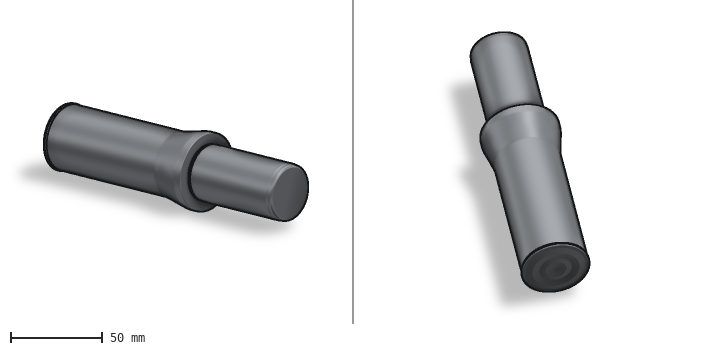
import cadquery as cq

TOTAL_LENGTH = 163.0

HANDLE_LENGTH = 102.7
BARREL_RADIUS = 37.0 / 2
COLLAR_RADIUS = 44.0 / 2
FLARE_START = 80.8
FLARE_END = 97.8
FLARE_BLEND = 4.9
COLLAR_EDGE_FILLET = 0.5

BEAD_RADIUS = 18.9
BEAD_FRONT = 0.7
BEAD_FILLET = 0.7
BEAD_CREST_END = 1.8
BEAD_END = 3.0

RIPPLE_DEPTH = 0.5
INNER_RIDGE_RADIUS = 5.9
GROOVE_RADIUS = 9.0
OUTER_RIDGE_RADIUS = 13.0
FACE_RADIUS = 16.6

PIN_RADIUS = 32.0 / 2
PIN_RELIEF_RADIUS = 31.5 / 2
NECK_LENGTH = 1.1
NECK_TAPER = 0.7
TIP_LENGTH = 2.8
TIP_TAPER = 1.0
TIP_FILLET = 1.6


def revolve_about_x(profile):
    """Turn a closed XY profile one full revolution about the X axis."""
    return profile.revolve(360, (0, 0, 0), (1, 0, 0))


def ring_at(x, radius):
    """Selector for the circular edge at the given axial place and radius."""
    reach = radius + 0.02
    slack = 0.02
    return cq.selectors.BoxSelector((x - slack, -reach, -reach), (x + slack, reach, reach), boundingbox=True)


def make_handle():
    profile = (
        cq.Workplane("XY")
        .moveTo(RIPPLE_DEPTH, 0)
        .lineTo(0, INNER_RIDGE_RADIUS)
        .lineTo(RIPPLE_DEPTH, GROOVE_RADIUS)
        .lineTo(0, OUTER_RIDGE_RADIUS)
        .lineTo(BEAD_FRONT, FACE_RADIUS)
        .lineTo(BEAD_FRONT, BEAD_RADIUS - BEAD_FILLET)
        .tangentArcPoint((BEAD_FILLET, BEAD_FILLET))
        .lineTo(BEAD_CREST_END, BEAD_RADIUS)
        .lineTo(BEAD_END, BARREL_RADIUS)
        .lineTo(FLARE_START, BARREL_RADIUS)
        .lineTo(FLARE_END, COLLAR_RADIUS)
        .lineTo(HANDLE_LENGTH, COLLAR_RADIUS)
        .lineTo(HANDLE_LENGTH, 0)
        .close()
    )
    handle = revolve_about_x(profile)
    handle = handle.edges(ring_at(FLARE_START, BARREL_RADIUS)).fillet(FLARE_BLEND)
    handle = handle.edges(ring_at(FLARE_END, COLLAR_RADIUS)).fillet(FLARE_BLEND)
    return handle.edges(ring_at(HANDLE_LENGTH, COLLAR_RADIUS)).fillet(COLLAR_EDGE_FILLET)


def make_pin():
    neck_end = HANDLE_LENGTH + NECK_LENGTH
    tip_start = TOTAL_LENGTH - TIP_LENGTH
    profile = (
        cq.Workplane("XY")
        .moveTo(HANDLE_LENGTH, 0)
        .lineTo(HANDLE_LENGTH, PIN_RELIEF_RADIUS)
        .lineTo(neck_end, PIN_RELIEF_RADIUS)
        .lineTo(neck_end + NECK_TAPER, PIN_RADIUS)
        .lineTo(tip_start - TIP_TAPER, PIN_RADIUS)
        .lineTo(tip_start, PIN_RELIEF_RADIUS)
        .lineTo(TOTAL_LENGTH, PIN_RELIEF_RADIUS)
        .lineTo(TOTAL_LENGTH, 0)
        .close()
    )
    pin = revolve_about_x(profile)
    return pin.edges(ring_at(TOTAL_LENGTH, PIN_RELIEF_RADIUS)).fillet(TIP_FILLET)


handle = make_handle()
pin = make_pin()

result = cq.Compound.makeCompound([handle.solids().val(), pin.solids().val()])